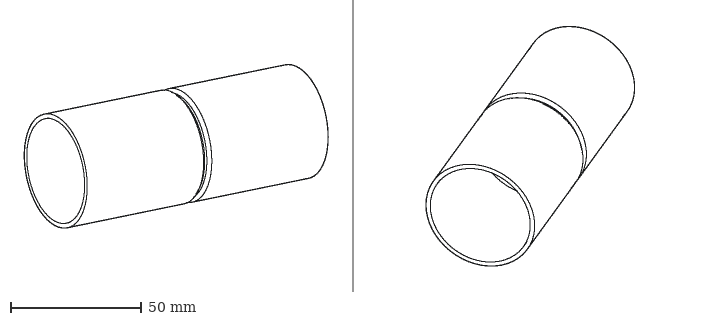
import cadquery as cq

length = 110.0
outer_diameter = 44.5
bore_diameter = 40.9
groove_diameter = 41.8
groove_floor_width = 1.0

outer_radius = outer_diameter / 2
bore_radius = bore_diameter / 2
bead_depth = (outer_diameter - groove_diameter) / 2
half_length = length / 2
half_floor = groove_floor_width / 2
half_mouth = half_floor + bead_depth


def beaded_cylinder(radius):
    """Solid cylinder along Y, necked in by the bead depth at mid-length."""
    neck_radius = radius - bead_depth
    return (
        cq.Workplane("XY")
        .moveTo(0, -half_length)
        .lineTo(radius, -half_length)
        .lineTo(radius, -half_mouth)
        .lineTo(neck_radius, -half_floor)
        .lineTo(neck_radius, half_floor)
        .lineTo(radius, half_mouth)
        .lineTo(radius, half_length)
        .lineTo(0, half_length)
        .close()
        .revolve(360, (0, 0, 0), (0, 1, 0))
    )


result = beaded_cylinder(outer_radius).cut(beaded_cylinder(bore_radius))